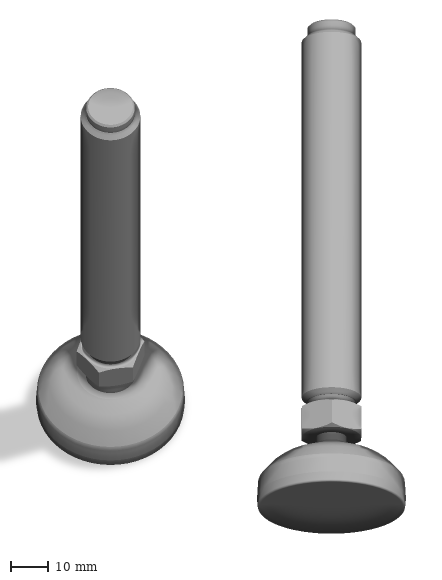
import cadquery as cq
import math

total_height = 138.2
base_height = 15.6
ball_neck_top = 20.2
hex_height = 8.0
hex_top = ball_neck_top + hex_height

base_radius = 20.0
parting_height = 2.7
foot_edge_radius = 19.8
foot_round = 0.5
rim_top = 6.9
rim_top_radius = 19.75
dome_start_height = 8.1
dome_start_radius = 19.4
dome_top_radius = 9.0
dome_arc_radius = 19.0
recess_radius = 14.0 / 2
recess_depth = 1.0

ball_radius = 14.0 / 2
neck_radius = 8.06 / 2
neck_base = 18.1
ball_center = neck_base - math.sqrt(ball_radius**2 - neck_radius**2)

hex_sides = 6
hex_across_flats = 16.0
hex_chamfer_radius = 7.9
hex_chamfer_angle = math.radians(30)

thread_radius = 16.0 / 2
core_radius = 13.0 / 2
thread_root_radius = 13.28 / 2
thread_cone_height = thread_radius - thread_root_radius
undercut_height = 2.0
tip_height = 3.0
tip_chamfer = 0.5


def make_base():
    """Domed foot, drafted both ways from its parting line, with a shallow recess around the ball."""
    foot = (
        cq.Workplane("XZ")
        .lineTo(foot_edge_radius - foot_round, 0)
        .radiusArc((foot_edge_radius, foot_round), -foot_round)
        .lineTo(base_radius, parting_height)
        .lineTo(rim_top_radius, rim_top)
        .tangentArcPoint((dome_start_radius, dome_start_height), relative=False)
        .radiusArc((dome_top_radius, base_height), -dome_arc_radius)
        .lineTo(0, base_height)
        .close()
        .revolve(360, (0, 0), (0, 1))
    )
    recess = (
        cq.Workplane("XY")
        .workplane(offset=base_height - recess_depth)
        .circle(recess_radius)
        .extrude(recess_depth)
    )
    return foot.cut(recess)


def make_ball_stud():
    """Ball seated in the base, with the neck that carries the hexagon."""
    ball = cq.Workplane("XY").sphere(ball_radius).translate((0, 0, ball_center))
    neck = (
        cq.Workplane("XY")
        .workplane(offset=ball_center)
        .circle(neck_radius)
        .extrude(ball_neck_top - ball_center)
    )
    return ball.union(neck)


def make_hexagon():
    """Hexagon with flats facing +X and -X and its corners turned off at both ends."""
    corner_radius = hex_across_flats / 2 / math.cos(math.pi / hex_sides)
    corner_drop = (corner_radius - hex_chamfer_radius) * math.tan(hex_chamfer_angle)
    prism = (
        cq.Workplane("XY")
        .workplane(offset=ball_neck_top)
        .polygon(hex_sides, 2 * corner_radius)
        .extrude(hex_height)
        .rotate((0, 0, 0), (0, 0, 1), 180 / hex_sides)
    )
    turned_blank = (
        cq.Workplane("XZ")
        .moveTo(0, ball_neck_top)
        .lineTo(hex_chamfer_radius, ball_neck_top)
        .lineTo(corner_radius, ball_neck_top + corner_drop)
        .lineTo(corner_radius, hex_top - corner_drop)
        .lineTo(hex_chamfer_radius, hex_top)
        .lineTo(0, hex_top)
        .close()
        .revolve(360, (0, 0), (0, 1))
    )
    return prism.intersect(turned_blank)


def make_spindle():
    """Smooth shank at thread diameter, with an undercut below and a dog point on top."""
    thread_bottom = hex_top + undercut_height
    thread_top = total_height - tip_height
    return (
        cq.Workplane("XZ")
        .moveTo(0, hex_top)
        .lineTo(core_radius, hex_top)
        .lineTo(core_radius, thread_bottom)
        .lineTo(thread_root_radius, thread_bottom)
        .lineTo(thread_radius, thread_bottom + thread_cone_height)
        .lineTo(thread_radius, thread_top - thread_cone_height)
        .lineTo(thread_root_radius, thread_top)
        .lineTo(core_radius, thread_top)
        .lineTo(core_radius, total_height - tip_chamfer)
        .lineTo(core_radius - tip_chamfer, total_height)
        .lineTo(0, total_height)
        .close()
        .revolve(360, (0, 0), (0, 1))
    )


result = make_base().union(make_ball_stud()).union(make_hexagon()).union(make_spindle())